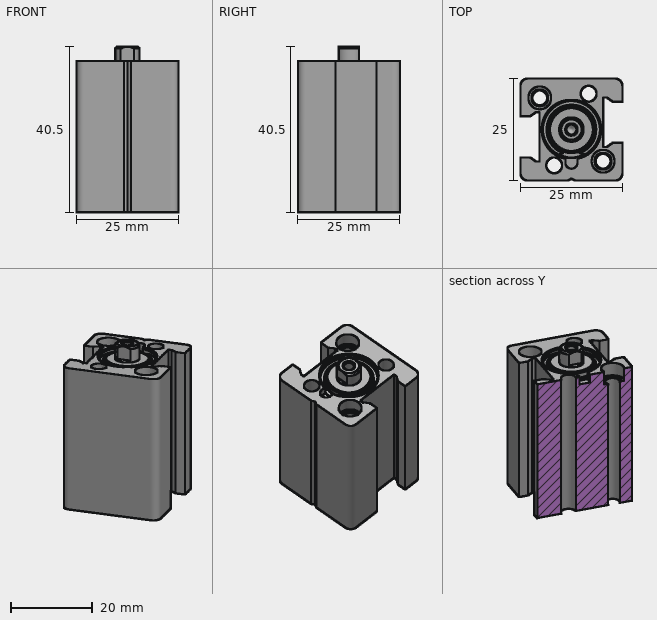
import cadquery as cq
import math

block_side = 25.0
block_height = 37.0
corner_radius = 1.85

slot_offset = 1.8
mouth_width = 10.0
slot_floor_width = 12.0
slot_floor_x = 7.8
mouth_inner_x = 10.1
flare_end_x = 8.65

groove_width = 1.7
groove_depth = 0.5

bolt_hole_place = 7.75
bolt_hole_diameter = 3.6
bolt_head_diameter = 5.6
bolt_head_depth = 3.4
bolt_chamfer_diameter = 4.15
port_x = 4.2
port_y = 8.75
port_diameter = 3.8

flange_diameter = 13.7
ring_seat_diameter = 13.95
pocket_depth = 6.0
rim_chamfer = 0.32
relief_diameter = 2.95
relief_y = 8.1

ring_inner_diameter = 12.15
ring_top_drop = 1.15
ring_thickness = 1.15
gap_inner_x = 2.1
gap_inner_y = 5.75
gap_outer_x = 3.15
gap_outer_y = 6.1

boss_diameter = 11.2
boss_chamfer = 0.35
foot_width = 0.12
collar_top_drop = 0.5

rod_top = 40.5
rod_diameter = 6.0
rod_chamfer = 0.5
flats_width = 5.0
thread_diameter = 2.47
thread_depth = 6.0
thread_chamfer = 0.3
drill_point_angle = 118.0

collar_top = block_height - collar_top_drop
ring_top = block_height - ring_top_drop
shelf = ring_top - ring_thickness
seat_bevel = (ring_seat_diameter - flange_diameter) / 2
seat_bottom = shelf + seat_bevel
pocket_floor = block_height - pocket_depth


def cylinder(diameter, bottom, top, x=0.0, y=0.0):
    """A vertical cylinder between two levels."""
    return cq.Workplane("XY", origin=(x, y, bottom)).circle(diameter / 2).extrude(top - bottom)


def turned(profile):
    """A solid of revolution about Z from (radius, height) points."""
    return cq.Workplane("XZ").polyline(profile).close().revolve(360, (0, 0, 0), (0, 1, 0))


def both_sides(cutter):
    """The cutter together with its copy turned half a turn about the rod axis."""
    return [cutter, cutter.rotate((0, 0, 0), (0, 0, 1), 180)]


def sensor_slot():
    """Cutter for the slot in the -X side."""
    half_mouth = mouth_width / 2
    half_floor = slot_floor_width / 2
    upper_edge = [
        (-block_side, half_mouth),
        (-mouth_inner_x, half_mouth),
        (-flare_end_x, half_floor),
        (-slot_floor_x, half_floor),
    ]
    lower_edge = [(x, -y) for x, y in reversed(upper_edge)]
    outline = cq.Workplane("XY").polyline(upper_edge + lower_edge).close()
    return outline.extrude(block_height).translate((0, -slot_offset, 0))


def v_groove():
    """Cutter for the groove down the -Y side."""
    face_y = -block_side / 2
    points = [(-groove_width / 2, face_y), (0, face_y + groove_depth), (groove_width / 2, face_y)]
    return cq.Workplane("XY").polyline(points).close().extrude(block_height)


def bolt_hole():
    """Cutter for a counterbored through hole with a chamfer at the counterbore floor."""
    floor = block_height - bolt_head_depth
    chamfer = (bolt_chamfer_diameter - bolt_hole_diameter) / 2
    profile = [
        (0, 0),
        (bolt_hole_diameter / 2, 0),
        (bolt_hole_diameter / 2, floor - chamfer),
        (bolt_chamfer_diameter / 2, floor),
        (bolt_head_diameter / 2, floor),
        (bolt_head_diameter / 2, block_height),
        (0, block_height),
    ]
    cutter = turned(profile)
    return cutter.translate((-bolt_hole_place, bolt_hole_place, 0))


def head_pocket():
    """Cutter for the flange bore, the ring seat above it, the rim chamfer and the relief by the ring gap."""
    flange_radius = flange_diameter / 2
    seat_radius = ring_seat_diameter / 2
    profile = [
        (0, pocket_floor),
        (flange_radius, pocket_floor),
        (flange_radius, shelf),
        (seat_radius, seat_bottom),
        (seat_radius, block_height - rim_chamfer),
        (seat_radius + rim_chamfer, block_height),
        (0, block_height),
    ]
    pocket = turned(profile)
    relief_plane = cq.Workplane("XY", origin=(0, -relief_y / 2, seat_bottom))
    relief_slot = relief_plane.rect(relief_diameter, relief_y).extrude(block_height - seat_bottom)
    relief = cylinder(relief_diameter, seat_bottom, block_height, y=-relief_y)
    return pocket.union(relief).union(relief_slot)


def make_housing():
    body = cq.Workplane("XY").rect(block_side, block_side).extrude(block_height)
    body = body.edges("|Z").fillet(corner_radius)
    port = cylinder(port_diameter, 0, block_height, port_x, port_y)
    for feature in (sensor_slot(), bolt_hole(), port):
        for cutter in both_sides(feature):
            body = body.cut(cutter)
    return body.cut(v_groove()).cut(head_pocket())


def make_ring():
    """Retaining ring with a gap towards -Y whose ends slant outwards."""
    seat_radius = ring_seat_diameter / 2
    ring = cylinder(ring_seat_diameter, shelf, ring_top).faces("<Z").chamfer(seat_bevel)
    ring = ring.cut(cylinder(ring_inner_diameter, shelf, ring_top))
    slope = (gap_outer_y - gap_inner_y) / (gap_outer_x - gap_inner_x)
    apex_y = gap_inner_y - slope * gap_inner_x
    far_y = apex_y + slope * seat_radius
    points = [
        (0, -apex_y),
        (seat_radius, -far_y),
        (seat_radius, -ring_seat_diameter),
        (-seat_radius, -ring_seat_diameter),
        (-seat_radius, -far_y),
    ]
    gap = cq.Workplane("XY", origin=(0, 0, shelf)).polyline(points).close().extrude(ring_thickness)
    return ring.cut(gap)


def make_collar():
    """Flange under the retaining ring and a chamfered boss with a flared foot, bored for the rod."""
    boss_radius = boss_diameter / 2
    profile = [
        (rod_diameter / 2, pocket_floor),
        (flange_diameter / 2, pocket_floor),
        (flange_diameter / 2, shelf),
        (boss_radius + foot_width, shelf),
        (boss_radius, shelf + foot_width),
        (boss_radius, collar_top - boss_chamfer),
        (boss_radius - boss_chamfer, collar_top),
        (rod_diameter / 2, collar_top),
    ]
    return turned(profile)


def rod_flat():
    """Cutter for the -Y flat, running out at 45 degrees down to the collar top."""
    flat_y = flats_width / 2
    radius = rod_diameter / 2
    profile = [
        (-radius, collar_top),
        (-flat_y, collar_top + radius - flat_y),
        (-flat_y, rod_top),
        (-radius, rod_top),
    ]
    return cq.Workplane("YZ").polyline(profile).close().extrude(radius, both=True)


def threaded_hole():
    """Cutter for the blind hole in the rod end, with a drill point and a mouth chamfer."""
    radius = thread_diameter / 2
    hole_floor = rod_top - thread_depth
    point_depth = radius / math.tan(math.radians(drill_point_angle / 2))
    profile = [
        (0, hole_floor - point_depth),
        (radius, hole_floor),
        (radius, rod_top - thread_chamfer),
        (radius + thread_chamfer, rod_top),
        (0, rod_top),
    ]
    return turned(profile)


def make_rod():
    rod = cylinder(rod_diameter, pocket_floor, rod_top).faces(">Z").chamfer(rod_chamfer)
    for cutter in both_sides(rod_flat()):
        rod = rod.cut(cutter)
    return rod.cut(threaded_hole())


housing = make_housing()
ring = make_ring()
collar = make_collar()
rod = make_rod()

result = cq.Compound.makeCompound([housing.val(), ring.val(), collar.val(), rod.val()])